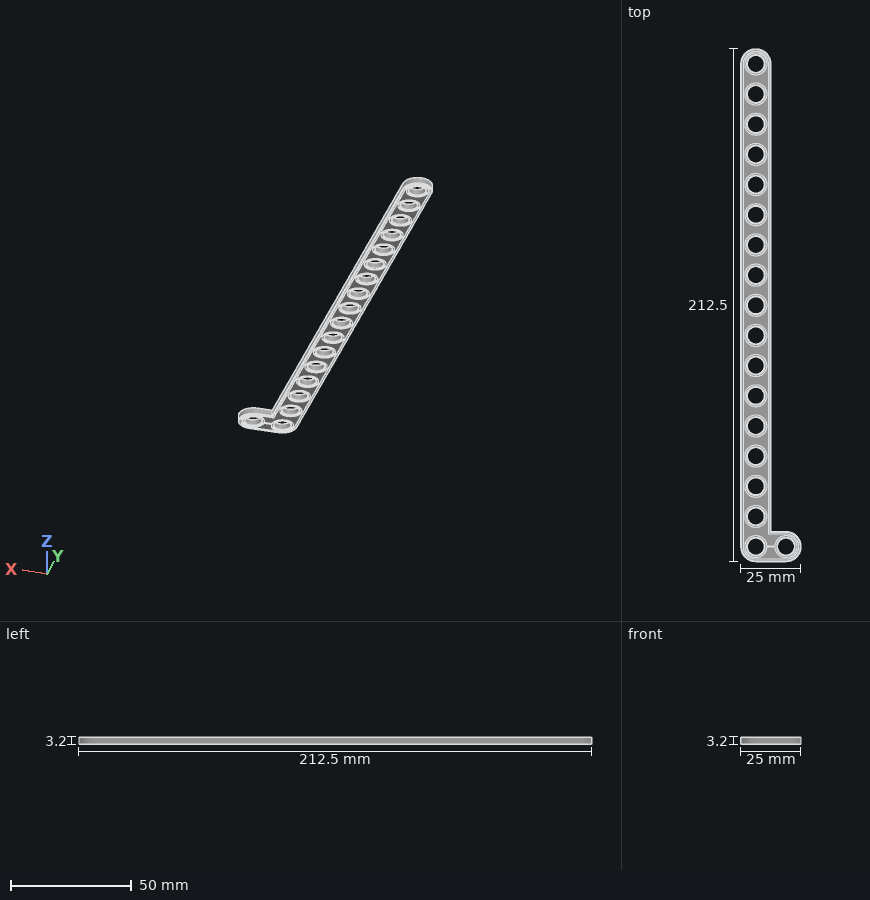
import cadquery as cq

LENGTH = 212.5
BAR_WIDTH = 12.5
THICKNESS = 3.2

LONG_ARM_HOLES = 17
HOLE_DIAMETER = 7.0
RING_DIAMETER = 9.1

RIM_WIDTH = 1.0
PANEL_DEPTH = 0.25

EDGE_CHAMFER = 0.32

RIB_WIDTH = 0.5

PITCH = (LENGTH - BAR_WIDTH) / (LONG_ARM_HOLES - 1)
LONG_ARM_SPAN = PITCH * (LONG_ARM_HOLES - 1)
WEB_THICKNESS = THICKNESS - 2 * PANEL_DEPTH

HOLE_CENTRES = [(0, row * PITCH) for row in range(LONG_ARM_HOLES)] + [(PITCH, 0)]


def round_ended_bar(span, width, height):
    """Full-round bar along X, from an end centre at the origin, centred on Z = 0."""
    outline = cq.Workplane("XY").center(span / 2, 0).slot2D(span + width, width)
    return outline.extrude(height / 2, both=True)


def l_shape(width, height):
    """Long arm along +Y and a one-pitch foot along +X, meeting at the origin."""
    long_arm = round_ended_bar(LONG_ARM_SPAN, width, height).rotate((0, 0, 0), (0, 0, 1), 90)
    foot = round_ended_bar(PITCH, width, height)
    return long_arm.union(foot).clean()


def hole_rings():
    """Full-height round bosses on every hole centre, not yet drilled."""
    circles = cq.Workplane("XY").pushPoints(HOLE_CENTRES).circle(RING_DIAMETER / 2)
    return circles.extrude(THICKNESS / 2, both=True)


def rimmed_plate():
    """Plate with a bevelled rim standing proud of a thinner web on both faces."""
    body = l_shape(BAR_WIDTH, THICKNESS).faces("<Z or >Z").edges().chamfer(EDGE_CHAMFER)
    inner_width = BAR_WIDTH - 2 * RIM_WIDTH
    web = l_shape(inner_width, WEB_THICKNESS)
    return body.cut(l_shape(inner_width, THICKNESS)).union(web)


def foot_rib():
    """Full-height rib from the corner hole to the foot hole."""
    return cq.Workplane("XY").box(PITCH, RIB_WIDTH, THICKNESS).translate((PITCH / 2, 0, 0))


def hole_cutter():
    """Through hole with a small conical bevel at each face, as a solid to subtract."""
    hole_radius = HOLE_DIAMETER / 2
    mouth_radius = hole_radius + EDGE_CHAMFER
    face = THICKNESS / 2
    bevel_start = face - EDGE_CHAMFER
    profile = [
        (0, -face),
        (mouth_radius, -face),
        (hole_radius, -bevel_start),
        (hole_radius, bevel_start),
        (mouth_radius, face),
        (0, face),
    ]
    return cq.Workplane("XZ").polyline(profile).close().revolve(360, (0, 0), (0, 1)).val()


cutter = hole_cutter()
holes = cq.Workplane("XY").pushPoints(HOLE_CENTRES).eachpoint(lambda place: cutter.moved(place))
result = rimmed_plate().union(hole_rings()).union(foot_rib()).cut(holes)